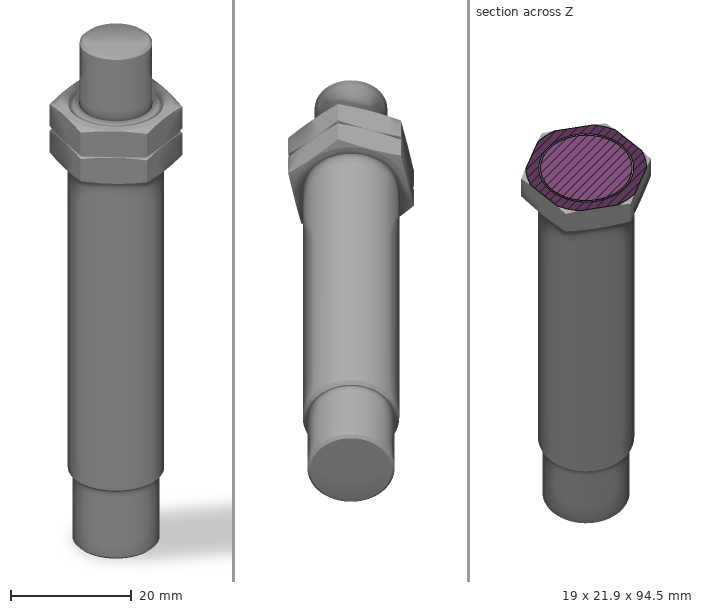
import cadquery as cq
import math

total_length = 94.5
tail_length = 13.0
nut_height = 5.0
nut_top = 82.5

tail_diameter = 14.5
tail_chamfer = 0.5
barrel_diameter = 16.0
barrel_end_diameter = 14.9
barrel_chamfer = (barrel_diameter - barrel_end_diameter) / 2
neck_diameter = 15.2
neck_end_diameter = 14.5
neck_chamfer = (neck_diameter - neck_end_diameter) / 2
head_diameter = 12.0
head_chamfer = 0.5

relief_diameter = 12.2
relief_depth = 0.5

nut_count = 2
nut_width = 19.0
nut_corner_diameter = nut_width / math.cos(math.radians(30))
nut_face_diameter = 18.7
nut_bore_chamfer = (barrel_diameter - neck_diameter) / 2
nut_stack_bottom = nut_top - nut_count * nut_height
nut_bevel_angle = 15.0


def cylinder(diameter, bottom, top):
    return cq.Workplane("XY").workplane(offset=bottom).circle(diameter / 2).extrude(top - bottom)


def make_sensor():
    tail = cylinder(tail_diameter, 0, tail_length).faces("<Z").chamfer(tail_chamfer)
    barrel = cylinder(barrel_diameter, tail_length, nut_stack_bottom).faces("<Z").chamfer(barrel_chamfer)
    neck = cylinder(neck_diameter, nut_stack_bottom, nut_top).faces(">Z").chamfer(neck_chamfer)
    relief = cylinder(relief_diameter, nut_top - relief_depth, nut_top)
    head = cylinder(head_diameter, nut_top - relief_depth, total_length).faces(">Z").chamfer(head_chamfer)
    return tail.union(barrel).union(neck).cut(relief).union(head)


def make_nut(bottom):
    hexagon = (
        cq.Workplane("XY")
        .workplane(offset=bottom)
        .polygon(6, nut_corner_diameter)
        .extrude(nut_height)
        .rotate((0, 0, 0), (0, 0, 1), 30)
    )
    face_radius = nut_face_diameter / 2
    corner_radius = nut_corner_diameter / 2
    bevel_height = (corner_radius - face_radius) * math.tan(math.radians(nut_bevel_angle))
    envelope = (
        cq.Workplane("XZ")
        .moveTo(0, bottom)
        .lineTo(face_radius, bottom)
        .lineTo(corner_radius, bottom + bevel_height)
        .lineTo(corner_radius, bottom + nut_height - bevel_height)
        .lineTo(face_radius, bottom + nut_height)
        .lineTo(0, bottom + nut_height)
        .close()
        .revolve(360, (0, 0, 0), (0, 1, 0))
    )
    bore = cylinder(neck_diameter, bottom, bottom + nut_height)
    nut = hexagon.intersect(envelope).cut(bore)
    bore_rims = nut.edges(cq.selectors.RadiusNthSelector(0))
    return bore_rims.chamfer(nut_bore_chamfer)


sensor = make_sensor()
nuts = [make_nut(nut_top - (index + 1) * nut_height) for index in range(nut_count)]

result = cq.Compound.makeCompound([sensor.val(), *[nut.val() for nut in nuts]])